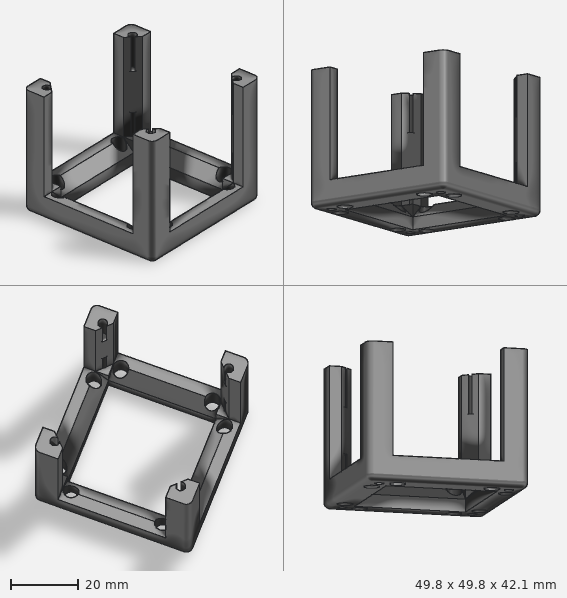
import cadquery as cq

side = 49.8
height = 42.1
bar = 7.8
edge_radius = 2.0
opening = side - 2 * bar
half = side / 2

post_bevel = 4.1
rail_bevel_width = 4.15
rail_bevel_height = bar / 2

rail_hole_diameter = 4.7
rail_hole_inset = 4.15
rail_hole_along = half - 10.35

post_hole_diameter = 2.8
post_hole_inset = 4.9
top_hole_depth = 11.95
bottom_hole_depth = bar + 8.2

quarter_turns = [0, 90, 180, 270]


def turned(shape, angle):
    return shape.rotate((0, 0, 0), (0, 0, 1), angle)


def frame_blank():
    """Rounded block hollowed to a square base ring and four corner posts."""
    block = cq.Workplane("XY").box(side, side, height, centered=(True, True, False))
    block = block.edges("|Z").fillet(edge_radius)
    block = block.faces("<Z").edges().fillet(edge_radius)
    well = cq.Workplane("XY").rect(opening, opening).extrude(height)
    upper = cq.Workplane("XY").workplane(offset=bar)
    gap_x = upper.rect(opening, side).extrude(height - bar)
    gap_y = upper.rect(side, opening).extrude(height - bar)
    return block.cut(well).cut(gap_x).cut(gap_y)


def rail_bevel():
    """Wedge removed from the upper inner edge of the rail on the +X side."""
    inner = opening / 2
    return (
        cq.Workplane("XZ")
        .moveTo(inner, bar)
        .lineTo(inner + rail_bevel_width, bar)
        .lineTo(inner, bar - rail_bevel_height)
        .close()
        .extrude(inner, both=True)
    )


def rail_holes():
    """Pair of through holes in the rail on the +X side."""
    x = half - rail_hole_inset
    return (
        cq.Workplane("XY")
        .pushPoints([(x, -rail_hole_along), (x, rail_hole_along)])
        .circle(rail_hole_diameter / 2)
        .extrude(bar)
    )


def post_cuts():
    """Inner corner bevel and two end holes of the post at +X +Y."""
    inner = opening / 2
    bevel = (
        cq.Workplane("XY")
        .workplane(offset=bar)
        .moveTo(inner, inner)
        .lineTo(inner + post_bevel, inner)
        .lineTo(inner, inner + post_bevel)
        .close()
        .extrude(height - bar)
    )
    center = half - post_hole_inset
    radius = post_hole_diameter / 2
    bottom_hole = cq.Workplane("XY").center(center, center).circle(radius).extrude(bottom_hole_depth)
    top = cq.Workplane("XY").workplane(offset=height)
    top_hole = top.center(center, center).circle(radius).extrude(-top_hole_depth)
    return bevel, bottom_hole, top_hole


result = frame_blank()
for angle in quarter_turns:
    for cutter in (rail_bevel(), rail_holes(), *post_cuts()):
        result = result.cut(turned(cutter, angle))